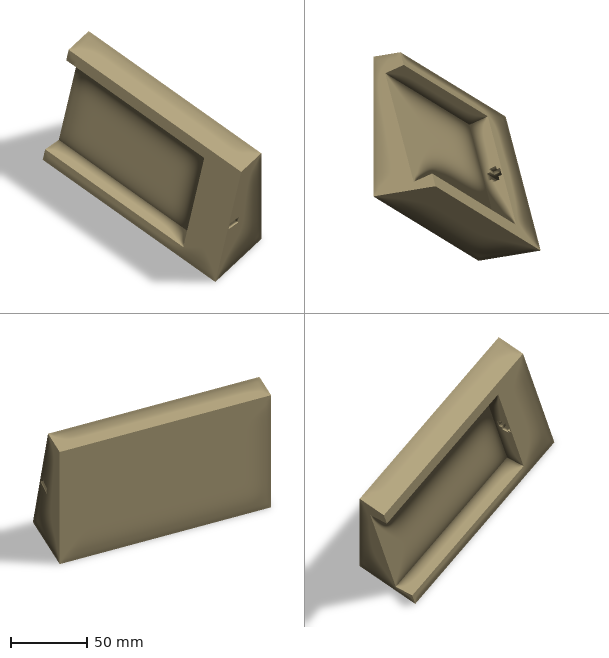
import cadquery as cq
import math

length = 150.0
height = 96.6
base_depth = 45.9
tilt = 15.0
top_depth = base_depth - height * math.tan(math.radians(tilt))

tray_length = 120.0
tray_width = 81.0
tray_depth = 14.1

slot_depth = 10.0
slot_width = 5.2
slot_center = 6.0
tab_depth = 5.1
tab_height = 2.4
tab_length = 6.0


def slope_box(x_start, x_length, along_slope, depth, center_below_face):
    """Box centred halfway up the slope, square to the sloping face."""
    box = cq.Workplane("XY").box(x_length, depth, along_slope)
    box = box.translate((x_start + x_length / 2, center_below_face, 0))
    box = box.rotate((0, 0, 0), (1, 0, 0), -tilt)
    return box.translate((0, (base_depth - top_depth) / 2, height / 2))


body = (
    cq.Workplane("YZ")
    .polyline([(0, 0), (base_depth, 0), (base_depth, height), (base_depth - top_depth, height)])
    .close()
    .extrude(length)
)

tray = slope_box(0, tray_length, tray_width, 2 * tray_depth, 0)
slot = slope_box(tray_length, length - tray_length, slot_width, slot_depth, slot_center)
tabs = slope_box(tray_length, tab_length, slot_width + 2 * tab_height, tab_depth, slot_center)

result = body.cut(tray).cut(slot).cut(tabs)